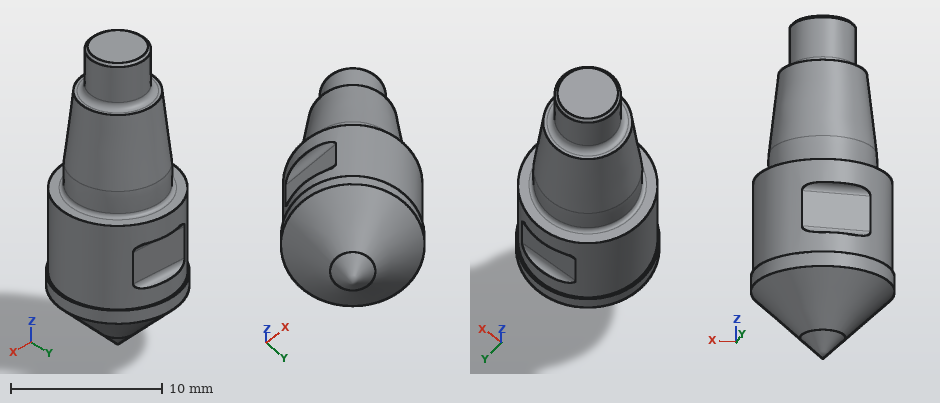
import cadquery as cq
import math

collar_radius = 9.53 / 2
cone_half_angle = math.radians(45)
cone_height = collar_radius / math.tan(cone_half_angle)
tip_height = 1.5
tip_radius = tip_height * math.tan(cone_half_angle)

collar_top = 5.8
body_radius = 9.25 / 2
body_top = 12.42

root_fillet = 0.3
band_radius = 3.59
band_bottom = body_top + root_fillet
band_top = 14.47

taper_top = 20.1
taper_top_radius = 2.95
pin_radius = 4.4 / 2
pin_fillet = 0.5
pin_chamfer = 0.2
overall_height = 23.6

flat_offset = 4.0
flat_height = 3.56
flat_center = 9.0
flat_fillet = 0.53

taper_angle = math.atan2(band_radius - taper_top_radius, taper_top - band_top)
band_bulge = (band_top - band_bottom) / 2 * math.tan(taper_angle / 2)
band_middle = (band_bottom + band_top) / 2

arc_inset = 1 - math.sqrt(0.5)


def make_tip():
    """Pointed lower end of the cone."""
    profile = (
        cq.Workplane("XZ")
        .moveTo(0, 0)
        .lineTo(tip_radius, tip_height)
        .lineTo(0, tip_height)
        .close()
    )
    return profile.revolve(360, (0, 0, 0), (0, 1, 0))


def make_turned_holder():
    """Revolved cone, collar, body, taper and pin above the tip."""
    profile = (
        cq.Workplane("XZ")
        .moveTo(0, tip_height)
        .lineTo(tip_radius, tip_height)
        .lineTo(collar_radius, cone_height)
        .lineTo(collar_radius, collar_top)
        .lineTo(body_radius, collar_top)
        .lineTo(body_radius, body_top)
        .lineTo(band_radius + root_fillet, body_top)
        .threePointArc(
            (band_radius + arc_inset * root_fillet, body_top + arc_inset * root_fillet),
            (band_radius, band_bottom),
        )
        .threePointArc((band_radius + band_bulge, band_middle), (band_radius, band_top))
        .lineTo(taper_top_radius, taper_top)
        .lineTo(pin_radius + pin_fillet, taper_top)
        .threePointArc(
            (pin_radius + arc_inset * pin_fillet, taper_top + arc_inset * pin_fillet),
            (pin_radius, taper_top + pin_fillet),
        )
        .lineTo(pin_radius, overall_height - pin_chamfer)
        .lineTo(pin_radius - pin_chamfer, overall_height)
        .lineTo(0, overall_height)
        .close()
    )
    return profile.revolve(360, (0, 0, 0), (0, 1, 0))


def make_flat_cutter(side):
    """Block that mills one flat; its two inner edges along X are rounded."""
    depth = 2 * (collar_radius - flat_offset)
    block = cq.Workplane("XY").box(2 * collar_radius, depth, flat_height)
    inner_face = ">Y" if side < 0 else "<Y"
    block = block.faces(inner_face).edges("|X").fillet(flat_fillet)
    return block.translate((0, side * (flat_offset + depth / 2), flat_center))


tip = make_tip()

holder = make_turned_holder()
for side in (-1, 1):
    holder = holder.cut(make_flat_cutter(side))

result = cq.Compound.makeCompound([holder.solids().val(), tip.val()])